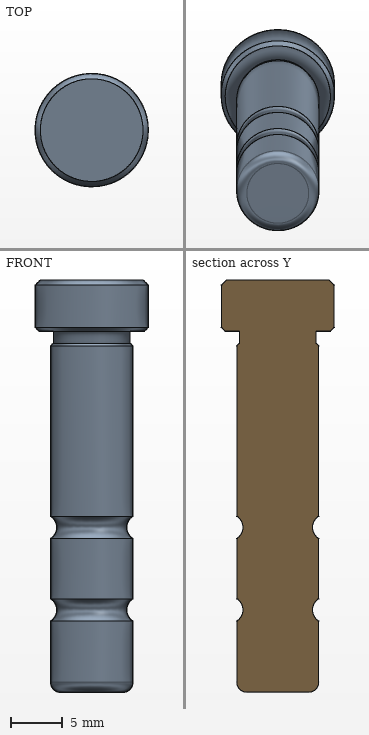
import cadquery as cq

total_length = 40.0

head_radius = 11.0 / 2
head_height = 5.0
head_top_chamfer = 0.5
head_bottom_chamfer = 0.4

neck_radius = 3.7
neck_height = 1.15
shoulder_chamfer = 0.25

shaft_radius = 4.0
end_fillet = 1.0

groove_heights = (8.0, 16.0)
groove_half_width = 1.1
groove_depth = 0.6

head_bottom = total_length - head_height
shaft_top = head_bottom - neck_height


def make_shaft():
    shaft = cq.Workplane("XY").circle(shaft_radius).extrude(shaft_top)
    shaft = shaft.faces("<Z").edges().fillet(end_fillet)
    return shaft.faces(">Z").edges().chamfer(shoulder_chamfer)


def make_neck():
    neck_bottom = shaft_top - shoulder_chamfer
    neck = cq.Workplane("XY").workplane(offset=neck_bottom).circle(neck_radius)
    return neck.extrude(head_bottom - neck_bottom)


def make_head():
    head = cq.Workplane("XY").workplane(offset=head_bottom).circle(head_radius).extrude(head_height)
    head = head.faces(">Z").edges().chamfer(head_top_chamfer)
    return head.faces("<Z").edges().chamfer(head_bottom_chamfer)


def make_groove(height):
    """Ring of circular-arc section, its deepest point at the given height."""
    arc_radius = (groove_depth**2 + groove_half_width**2) / (2 * groove_depth)
    center_radius = shaft_radius - groove_depth + arc_radius
    return (
        cq.Workplane("XZ")
        .center(center_radius, height)
        .circle(arc_radius)
        .revolve(360, (-center_radius, 0), (-center_radius, 1))
    )


result = make_shaft().union(make_neck()).union(make_head())
for groove_height in groove_heights:
    result = result.cut(make_groove(groove_height))